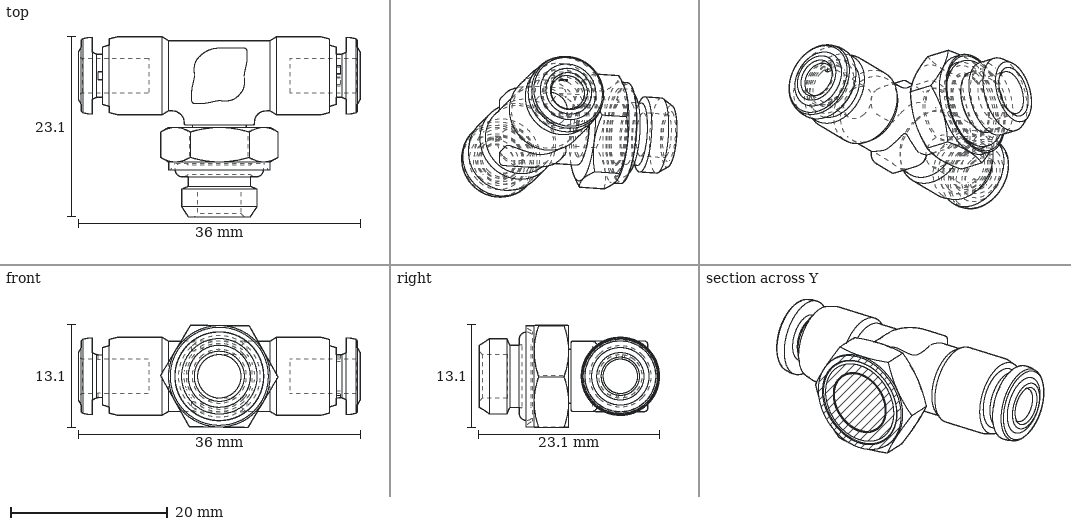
import cadquery as cq
import math

BODY_RADIUS = 4.5
SHOULDER_RADIUS = 5.0
CORNER_BLEND = 1.45
BRANCH_LENGTH = 6.3
BRANCH_END_FILLET = 0.2

SHOULDER_START = 6.48
SHOULDER_FULL = 7.3
SHOULDER_TAPER = 12.95
SHOULDER_END = 14.08
SHOULDER_END_RADIUS = 4.7
INSERT_ROOT_RADIUS = 3.92
INSERT_END = 14.95
INSERT_END_RADIUS = 3.67
COLLET_RADIUS = 2.77
FLANGE_START = 16.2
FLANGE_FLARE_LENGTH = 0.55
FLANGE_FLARE_RADIUS = 3.02
FLANGE_RADIUS = 4.9
FLANGE_TAPER = 16.7
FLANGE_RIM = 17.42
FLANGE_RIM_RADIUS = 4.75
FLANGE_END = 17.65
FLANGE_END_RADIUS = 4.55
NOSE_BASE_RADIUS = 3.67
NOSE_TIP_RADIUS = 3.02
HALF_LENGTH = 18.0
TUBE_BORE_RADIUS = 2.2
MOUTH_RADIUS = 2.45
MOUTH_DEPTH = 0.5
TUBE_BORE_DEPTH = 9.0
SLOT_LENGTH = 0.55
SLOT_WIDTH = 1.0
FAR_COLLET_TURN = 17.0

PAD_RADIUS = 3.53
PAD_HEIGHT = 4.55
PAD_CORNER_FILLET = 0.35
PAD_EDGE_FILLET = 0.55

SWIVEL_RADIUS = 3.45
HEX_START = 6.6
HEX_END = 11.0
HEX_ACROSS_FLATS = 13.0
HEX_FACE_RADIUS = 6.48
HEX_CHAMFER_ANGLE = 30.0
HEX_TURN = 0.7
COLLAR_RADIUS = 6.48
COLLAR_END = 12.05
RECESS_RIM_RADIUS = 6.25
RECESS_DEPTH = 0.85
RECESS_FLOOR_RADIUS = 5.7
STEM_NECK_RADIUS = 4.0
SEAL_SECTION_RADIUS = 0.95
SEAL_RING_RADIUS = 4.7
SEAL_STATION = 12.0
THREAD_RADIUS = 4.82
THREAD_START = 14.1
THREAD_LEAD_IN = 0.35
THREAD_END = 16.7
STEM_TIP_RADIUS = 3.95
STEM_END = 18.05
STEM_BORE_RADIUS = 2.77
STEM_BORE_CHAMFER = 0.45
STEM_BORE_DEPTH = 3.6


def turned_on_x(points):
    """Revolve (x, radius) points about the X axis."""
    return cq.Workplane("XY").polyline(points).close().revolve(360, (0, 0), (1, 0))


def turned_on_branch(points):
    """Revolve (distance along -Y, radius) points about the Y axis."""
    outline = [(radius, -distance) for distance, radius in points]
    return cq.Workplane("XY").polyline(outline).close().revolve(360, (0, 0), (0, 1))


def leaf_pad():
    """Square with two opposite corners rounded to the full half width."""
    r = PAD_RADIUS
    diagonal = r * math.sqrt(0.5)
    pad = (
        cq.Workplane("XY")
        .workplane(offset=-PAD_HEIGHT)
        .moveTo(0, r)
        .lineTo(r, r)
        .lineTo(r, 0)
        .threePointArc((diagonal, -diagonal), (0, -r))
        .lineTo(-r, -r)
        .lineTo(-r, 0)
        .threePointArc((-diagonal, diagonal), (0, r))
        .close()
        .extrude(2 * PAD_HEIGHT)
    )
    pad = pad.edges("<(1, 1, 0) or >(1, 1, 0)").fillet(PAD_CORNER_FILLET)
    return pad.faces("|Z").edges().fillet(PAD_EDGE_FILLET)


def tee_body():
    run = cq.Workplane("YZ").circle(BODY_RADIUS).extrude(SHOULDER_START, both=True)
    branch = cq.Workplane("XZ").circle(BODY_RADIUS).extrude(BRANCH_LENGTH)
    body = run.union(branch).edges("%ELLIPSE").fillet(CORNER_BLEND)
    body = body.faces("<Y").edges().fillet(BRANCH_END_FILLET)
    return body.union(leaf_pad())


def run_end():
    """Shoulder, collet and tube bore of the +X end."""
    end = turned_on_x([
        (SHOULDER_START, 0),
        (SHOULDER_START, BODY_RADIUS),
        (SHOULDER_FULL, SHOULDER_RADIUS),
        (SHOULDER_TAPER, SHOULDER_RADIUS),
        (SHOULDER_END, SHOULDER_END_RADIUS),
        (SHOULDER_END, INSERT_ROOT_RADIUS),
        (INSERT_END, INSERT_END_RADIUS),
        (INSERT_END, COLLET_RADIUS),
        (FLANGE_START - FLANGE_FLARE_LENGTH, COLLET_RADIUS),
        (FLANGE_START, FLANGE_FLARE_RADIUS),
        (FLANGE_START, FLANGE_RADIUS),
        (FLANGE_TAPER, FLANGE_RADIUS),
        (FLANGE_RIM, FLANGE_RIM_RADIUS),
        (FLANGE_END, FLANGE_END_RADIUS),
        (FLANGE_END, NOSE_BASE_RADIUS),
        (HALF_LENGTH, NOSE_TIP_RADIUS),
        (HALF_LENGTH, 0),
    ])
    bore = turned_on_x([
        (HALF_LENGTH, 0),
        (HALF_LENGTH, MOUTH_RADIUS),
        (HALF_LENGTH - MOUTH_DEPTH, TUBE_BORE_RADIUS),
        (HALF_LENGTH - TUBE_BORE_DEPTH, TUBE_BORE_RADIUS),
        (HALF_LENGTH - TUBE_BORE_DEPTH, 0),
    ])
    slot = (
        cq.Workplane("XY")
        .box(SLOT_LENGTH, SLOT_WIDTH, 2 * FLANGE_RADIUS)
        .translate((INSERT_END + SLOT_LENGTH / 2, 0, 0))
    )
    return end.cut(bore).cut(slot)


def hexagon():
    """Wrench hexagon with conical chamfers at both ends."""
    corner_diameter = HEX_ACROSS_FLATS / math.cos(math.radians(30))
    blank = (
        cq.Workplane("XZ")
        .workplane(offset=HEX_START)
        .transformed(rotate=(0, 0, -HEX_TURN))
        .polygon(6, corner_diameter)
        .extrude(HEX_END - HEX_START)
    )
    corner_radius = corner_diameter / 2
    cone_drop = (corner_radius - HEX_FACE_RADIUS) * math.tan(math.radians(HEX_CHAMFER_ANGLE))
    envelope = turned_on_branch([
        (HEX_START, 0),
        (HEX_START, HEX_FACE_RADIUS),
        (HEX_START + cone_drop, corner_radius),
        (HEX_END - cone_drop, corner_radius),
        (HEX_END, HEX_FACE_RADIUS),
        (HEX_END, 0),
    ])
    return blank.intersect(envelope)


def stem():
    """Swivel neck, hexagon, collar with its sealing ring, and threaded end."""
    swivel = cq.Workplane("XZ").workplane(offset=BRANCH_LENGTH)
    swivel = swivel.circle(SWIVEL_RADIUS).extrude(HEX_START - BRANCH_LENGTH)
    turned = turned_on_branch([
        (HEX_END, 0),
        (HEX_END, COLLAR_RADIUS),
        (COLLAR_END, COLLAR_RADIUS),
        (COLLAR_END, RECESS_RIM_RADIUS),
        (COLLAR_END - RECESS_DEPTH, RECESS_FLOOR_RADIUS),
        (COLLAR_END - RECESS_DEPTH, STEM_NECK_RADIUS),
        (THREAD_START, STEM_NECK_RADIUS),
        (THREAD_START + THREAD_LEAD_IN, THREAD_RADIUS),
        (THREAD_END, THREAD_RADIUS),
        (STEM_END, STEM_TIP_RADIUS),
        (STEM_END, 0),
    ])
    seal = (
        cq.Workplane("XY")
        .center(SEAL_RING_RADIUS, -SEAL_STATION)
        .circle(SEAL_SECTION_RADIUS)
        .revolve(360, (-SEAL_RING_RADIUS, 0), (-SEAL_RING_RADIUS, 1))
    )
    mouth_radius = STEM_BORE_RADIUS + STEM_BORE_CHAMFER
    bore = turned_on_branch([
        (STEM_END, 0),
        (STEM_END, mouth_radius),
        (STEM_END - STEM_BORE_CHAMFER, STEM_BORE_RADIUS),
        (STEM_END - STEM_BORE_DEPTH, STEM_BORE_RADIUS),
        (STEM_END - STEM_BORE_DEPTH, 0),
    ])
    return swivel.union(hexagon()).union(turned).union(seal).cut(bore)


near_end = run_end().mirror("YZ")
far_end = run_end().rotate((0, 0, 0), (1, 0, 0), -FAR_COLLET_TURN)
result = tee_body().union(near_end).union(far_end).union(stem())